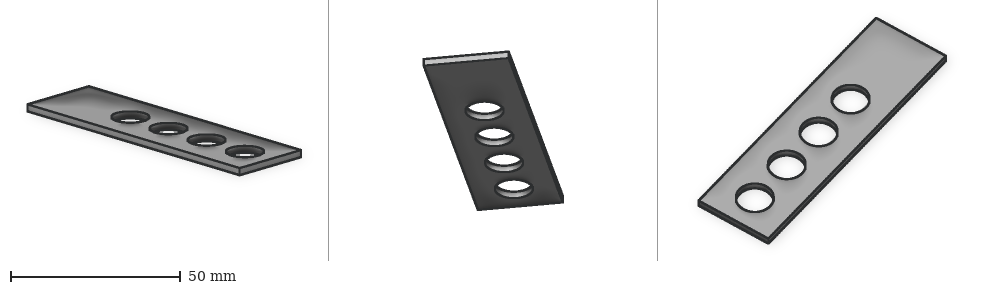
import cadquery as cq

length = 88.9
width = 25.4
thickness = 2.2

hole_diameter = 11.2
hole_count = 4
hole_pitch = 16.0
end_distance = 10.7

last_hole_x = length / 2 - end_distance
hole_centres = [(last_hole_x - i * hole_pitch, 0) for i in range(hole_count)]

plate = cq.Workplane("XY").box(length, width, thickness)
result = plate.faces(">Z").workplane().pushPoints(hole_centres).hole(hole_diameter)